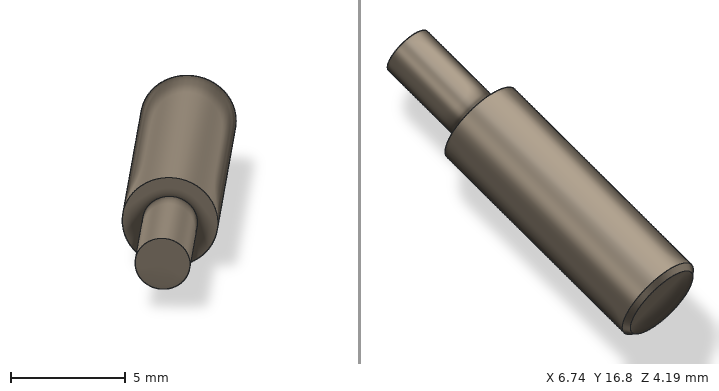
import cadquery as cq

body_diameter = 4.19
pin_diameter = 2.41
total_length = 16.5
pin_length = 4.73
chamfer_size = 0.25
tilt_angle = 12.5

body_length = total_length - pin_length


def make_body():
    """Large cylinder along +Y from the shoulder, with a chamfered far end."""
    body = cq.Workplane("XZ").circle(body_diameter / 2).extrude(-body_length)
    return body.faces(">Y").chamfer(chamfer_size)


def make_pin():
    """Slim cylinder along -Y from the shoulder, with a plain end."""
    return cq.Workplane("XZ").circle(pin_diameter / 2).extrude(pin_length)


straight_part = make_body().union(make_pin())
result = straight_part.rotate((0, 0, 0), (0, 0, 1), tilt_angle)